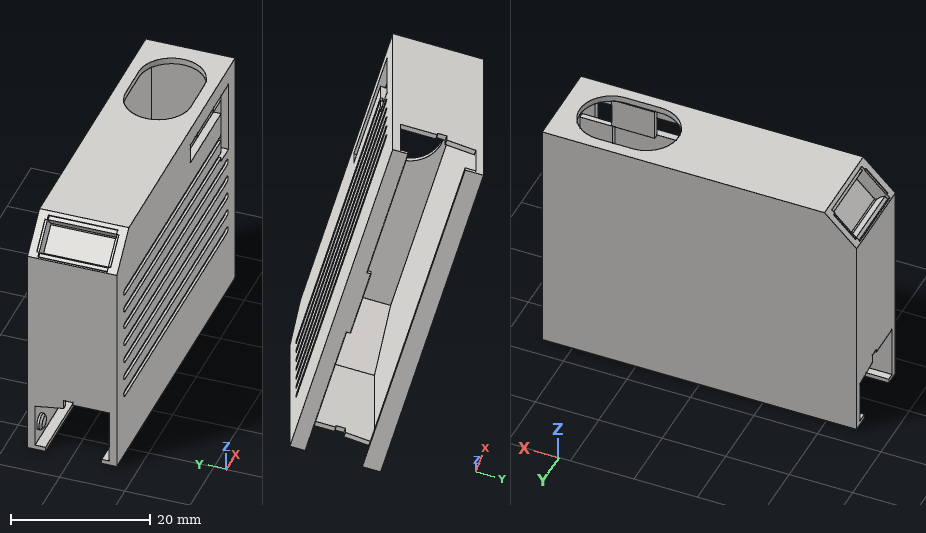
import cadquery as cq
import math

length = 49.55
width = 13.7
height = 39.0
bevel = 5.05
x_min, x_max = -length / 2, length / 2
y_min, y_max = -width / 2, width / 2

side_wall = 1.2
end_wall = 0.75
roof = 1.0
cavity_y_min = y_min + side_wall
cavity_y_max = y_max - side_wall
cavity_width = cavity_y_max - cavity_y_min
ceiling = height - roof

flange_thickness = 0.75
rear_flange_tip = 4.05
front_flange_tip = -4.5
front_flange_tab_tip = -3.9
front_flange_tab_length = 9.9

ramp_low = 7.65
ramp_high = 8.3
notch_top = 9.7
notch_y_max = 1.3
notch_y_min = -0.1
opening_top = 9.2

oval_length = 15.5
oval_width = 10.0
oval_x = 14.1

groove_count = 7
groove_span = 18.0
groove_length = 43.6
groove_width = 1.0
groove_depth = 0.4
groove_bottom_z = 10.75

cutout_x_min = 6.05
cutout_x_max = 22.0
cutout_z_min = 24.65
cutout_z_max = 36.2
cutout_bar = 3.1
cutout_inner_x = cutout_x_max - cutout_bar
cutout_inner_z = cutout_z_max - cutout_bar
tab_thickness = 0.85
upper_tab_x_min = 12.25
upper_tab_x_max = 19.0
lower_tab_z_min = 27.45

window_shift = -0.2
window_height = 5.05
window_width = 10.6
rim_height = 6.25
rim_depth = 0.5
side_strip_width = 0.35
side_strip_height = 4.85
side_strip_depth = 0.1
lead_in_inset = 0.2
lead_in_depth = 0.75
floor_chamfer = 0.2
window_depth = 2.45
window_backing = 0.75

stud_x = x_min + 2.0
stud_z = 3.65
stud_radius = 1.25
stud_height = 0.7
stud_chamfer = 0.35


def block(x0, x1, y0, y1, z0, z1):
    """Axis-aligned box between two corners."""
    return cq.Workplane("XY").box(x1 - x0, y1 - y0, z1 - z0, centered=False).translate((x0, y0, z0))


def bevelled_prism(x0, x1, top, cut, prism_width):
    """Box standing on Z = 0 with its upper -X edge cut off at 45 degrees."""
    outline = [(x0, 0), (x1, 0), (x1, top), (x0 + cut, top), (x0, top - cut)]
    return cq.Workplane("XZ").polyline(outline).close().extrude(prism_width / 2, both=True)


def make_shell():
    bevel_wall = window_depth + window_backing
    cavity_bevel = bevel + bevel_wall * math.sqrt(2) - end_wall - roof
    outside = bevelled_prism(x_min, x_max, height, bevel, width)
    cavity = bevelled_prism(x_min + end_wall, x_max - end_wall, ceiling, cavity_bevel, cavity_width)
    return outside.cut(cavity)


def make_flanges():
    half_tab = front_flange_tab_length / 2
    rear = block(x_min, x_max, rear_flange_tip, y_max, 0, flange_thickness)
    front = block(x_min, x_max, y_min, front_flange_tip, 0, flange_thickness)
    front_tab = block(-half_tab, half_tab, y_min, front_flange_tab_tip, 0, flange_thickness)
    return rear.union(front).union(front_tab)


def make_end_opening():
    outline = [
        (cavity_y_min, 0),
        (cavity_y_max, 0),
        (cavity_y_max, ramp_low),
        (notch_y_max, ramp_high),
        (notch_y_max, notch_top),
        (notch_y_min, notch_top),
        (notch_y_min, opening_top),
        (cavity_y_min, opening_top),
    ]
    return cq.Workplane("YZ").polyline(outline).close().extrude(length / 2, both=True)


def make_oval():
    return (
        cq.Workplane("XY", origin=(oval_x, 0, ceiling))
        .slot2D(oval_length, oval_width)
        .extrude(roof)
    )


def make_grooves():
    pitch = groove_span / (groove_count - 1)
    centres = [(0, groove_bottom_z + i * pitch) for i in range(groove_count)]
    return (
        cq.Workplane("XZ", origin=(0, y_min + groove_depth, 0))
        .pushPoints(centres)
        .slot2D(groove_length, groove_width)
        .extrude(groove_depth)
    )


def make_cutout():
    bar = block(cutout_x_min, cutout_x_max, y_min, cavity_y_min, cutout_inner_z, cutout_z_max)
    leg = block(cutout_inner_x, cutout_x_max, y_min, cavity_y_min, cutout_z_min, cutout_z_max)
    return bar.union(leg)


def make_cutout_tabs():
    y_back = cavity_y_min + tab_thickness
    upper = block(upper_tab_x_min, upper_tab_x_max, cavity_y_min, y_back, cutout_inner_z, ceiling)
    lower = block(cutout_inner_x, x_max - end_wall, cavity_y_min, y_back, lower_tab_z_min, cutout_inner_z)
    return upper.union(lower)


def make_window():
    slope_middle = bevel / 2 + window_shift / math.sqrt(2)
    section = cq.Plane(
        origin=(x_min + slope_middle, 0, height - bevel + slope_middle),
        xDir=(1, 0, -1),
        normal=(0, -1, 0),
    )
    half_mouth = window_height / 2
    half_throat = half_mouth - lead_in_inset
    half_outline = [
        (0, half_mouth),
        (rim_depth, half_mouth),
        (rim_depth + lead_in_depth, half_throat),
        (window_depth - floor_chamfer, half_throat),
        (window_depth, half_throat - floor_chamfer),
    ]
    mirrored = [(depth, -offset) for depth, offset in reversed(half_outline)]
    opening = (
        cq.Workplane(section)
        .polyline(half_outline + mirrored)
        .close()
        .extrude(window_width / 2, both=True)
    )
    rim = cq.Workplane(section).rect(2 * rim_depth, rim_height).extrude(window_width / 2, both=True)
    strips = (
        cq.Workplane(section)
        .rect(2 * side_strip_depth, side_strip_height)
        .extrude(window_width / 2 + side_strip_width, both=True)
    )
    return opening.union(rim).union(strips)


def make_stud():
    return (
        cq.Workplane("XZ", origin=(stud_x, cavity_y_max, stud_z))
        .circle(stud_radius)
        .extrude(stud_height)
        .faces("<Y")
        .chamfer(stud_chamfer)
    )


result = (
    make_shell()
    .cut(make_end_opening())
    .union(make_flanges())
    .cut(make_oval())
    .cut(make_grooves())
    .cut(make_cutout())
    .union(make_cutout_tabs())
    .cut(make_window())
    .union(make_stud())
)